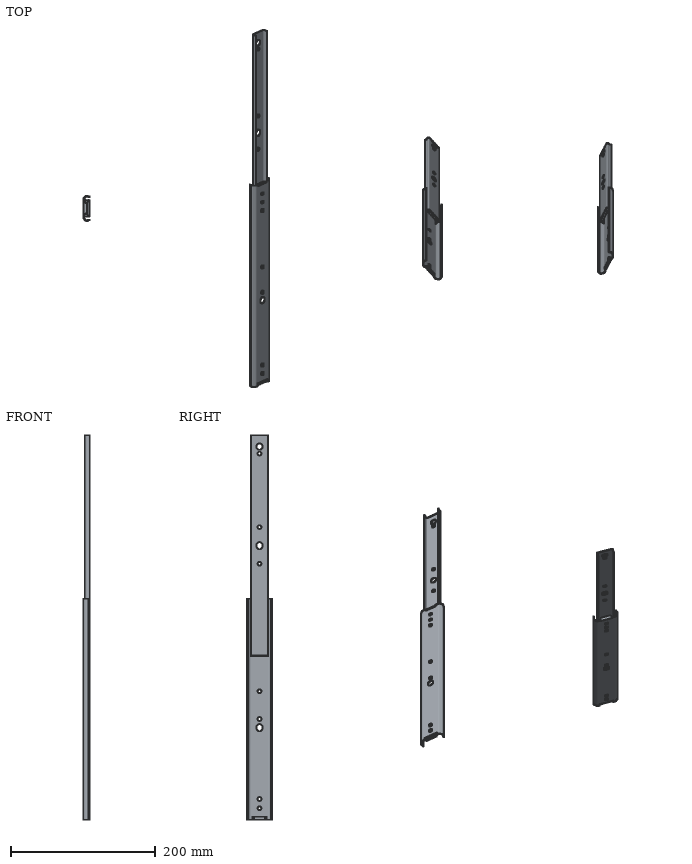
import cadquery as cq
import math


depth = 9.5
height = 35.08
total_length = 531.4
rail_length = 305.4
sheet = 1.2

inner_bottom = total_length - rail_length

outer_web_half = 12.0
outer_bend_radius = 3.5
wall_angle = math.radians(45)
track_x = 5.3
track_radius = 3.5
track_y = height / 2 - track_radius

inner_lip_x = 2.2
inner_half = 11.75
inner_bend_radius = 2.0
groove_start_x = 3.7
groove_end_x = 6.9
groove_sag = 0.3
inner_web_half = inner_half - inner_bend_radius

tab_root_half = 7.9
tab_tip_half = 6.8
tab_taper_x = 3.0
tab_tip_x = 5.2
notch_depth = 1.6

inner_tab_x = 5.6

strip_height = 4.0
strip_depth = 2.3
strip_cut_half = 11.6
strip_root_half = 9.8
strip_flat_half = 7.3

small_hole = 5.0
large_hole = 8.4
mount_slot_width = 8.0
mount_slot_height = 9.6
cross_slot_height = 3.4
cut_margin = 1.0

outer_small_holes = [16.0, 28.8, 139.3, 177.7, 263.3]
outer_cross_slots = [276.1, 288.9]
outer_mount_slot = 127.3
inner_small_holes = [25.6, 127.1, 177.7]
inner_large_hole = 16.0
inner_mount_slot = 152.8


def polar(x, y, radius, angle):
    """Point on a circle, with the angle measured from +Y toward +X."""
    return (x + radius * math.sin(angle), y + radius * math.cos(angle))


def plate(points, bottom, thickness):
    return cq.Workplane("XY", origin=(0, 0, bottom)).polyline(points).close().extrude(thickness)


def with_mirror(half):
    return half.union(half.mirror("XZ"))


def web_plane(z):
    """YZ workplane just outside the -X face, for cutting holes through the webs."""
    return cq.Workplane("YZ", origin=(-cut_margin, 0, z))


def cut_holes(rail, heights, diameter):
    for z in heights:
        rail = rail.cut(web_plane(z).circle(diameter / 2).extrude(depth + 2 * cut_margin))
    return rail


def cut_slots(rail, heights, length, width, angle):
    for z in heights:
        rail = rail.cut(web_plane(z).slot2D(length, width, angle).extrude(depth + 2 * cut_margin))
    return rail


def outer_rail_half():
    """+Y half of the outer rail: web, bend, sloped wall, ball track and flat lip."""
    inside_bend = outer_bend_radius - sheet
    inside_track = track_radius - sheet

    def bend(radius, turn):
        return (outer_bend_radius - radius * math.cos(turn), outer_web_half + radius * math.sin(turn))

    def track(radius, angle):
        return polar(track_x, track_y, radius, angle)

    return (
        cq.Workplane("XY")
        .lineTo(0, outer_web_half)
        .threePointArc(bend(outer_bend_radius, wall_angle / 2), bend(outer_bend_radius, wall_angle))
        .lineTo(*track(track_radius, -wall_angle))
        .threePointArc(track(track_radius, 0), track(track_radius, wall_angle))
        .lineTo(depth, track(track_radius, wall_angle)[1])
        .lineTo(depth, track(inside_track, wall_angle)[1])
        .lineTo(*track(inside_track, wall_angle))
        .threePointArc(track(inside_track, 0), track(inside_track, -wall_angle))
        .lineTo(*bend(inside_bend, wall_angle))
        .threePointArc(bend(inside_bend, wall_angle / 2), bend(inside_bend, 0))
        .lineTo(sheet, 0)
        .close()
        .extrude(rail_length)
    )


def inner_rail_half():
    """+Y half of the inner rail: web, bend and flange with its shallow ball groove."""
    bend_x = depth - inner_bend_radius
    inside_bend = inner_bend_radius - sheet
    inside_half = inner_half - sheet
    groove_x = (groove_start_x + groove_end_x) / 2

    def bend(radius, angle):
        return polar(bend_x, inner_web_half, radius, math.radians(angle))

    return (
        cq.Workplane("XY", origin=(0, 0, inner_bottom))
        .moveTo(depth, 0)
        .lineTo(*bend(inner_bend_radius, 90))
        .threePointArc(bend(inner_bend_radius, 45), bend(inner_bend_radius, 0))
        .lineTo(groove_end_x, inner_half)
        .threePointArc((groove_x, inner_half - groove_sag), (groove_start_x, inner_half))
        .lineTo(inner_lip_x, inner_half)
        .lineTo(inner_lip_x, inside_half)
        .lineTo(*bend(inside_bend, 0))
        .threePointArc(bend(inside_bend, 45), bend(inside_bend, 90))
        .lineTo(depth - sheet, 0)
        .close()
        .extrude(rail_length)
    )


def pressed_strip():
    """Strip across the bottom of the outer rail, stepped into the channel at constant thickness."""
    slope = math.atan2(strip_depth, strip_root_half - strip_flat_half)
    shift = sheet * math.tan(slope / 2)
    near_side = [
        (0, strip_cut_half),
        (0, strip_root_half),
        (strip_depth, strip_flat_half),
    ]
    far_side = [
        (strip_depth + sheet, strip_flat_half + shift),
        (sheet, strip_root_half + shift),
        (sheet, strip_cut_half),
    ]
    mirrored_near = [(x, -y) for x, y in reversed(near_side)]
    mirrored_far = [(x, -y) for x, y in reversed(far_side)]
    return plate(near_side + mirrored_near + mirrored_far + far_side, 0, strip_height)


def top_tab():
    root = [(0, -tab_root_half), (0, tab_root_half)]
    tip = [
        (tab_taper_x, tab_root_half),
        (tab_tip_x, tab_tip_half),
        (tab_tip_x, -tab_tip_half),
        (tab_taper_x, -tab_root_half),
    ]
    return plate(root + tip, rail_length - notch_depth - sheet, sheet)


def outer_rail():
    rail = with_mirror(outer_rail_half())
    strip_window = cq.Workplane("XY").box(2 * sheet, 2 * strip_cut_half, 2 * strip_height)
    rail = rail.cut(strip_window).union(pressed_strip())
    notch = cq.Workplane("XY", origin=(0, 0, rail_length)).box(2 * sheet, 2 * tab_root_half, 2 * notch_depth)
    rail = rail.cut(notch).union(top_tab())
    rail = cut_holes(rail, outer_small_holes, small_hole)
    rail = cut_slots(rail, outer_cross_slots, small_hole, cross_slot_height, 0)
    return cut_slots(rail, [outer_mount_slot], mount_slot_height, mount_slot_width, 90)


def inner_rail():
    rail = with_mirror(inner_rail_half())
    tab = cq.Workplane("XY", origin=(inner_tab_x, 0, inner_bottom)).box(
        depth - sheet - inner_tab_x, 2 * inner_web_half, sheet, centered=(False, True, False)
    )
    rail = rail.union(tab)
    rail = cut_holes(rail, [total_length - d for d in inner_small_holes], small_hole)
    rail = cut_holes(rail, [total_length - inner_large_hole], large_hole)
    return cut_slots(rail, [total_length - inner_mount_slot], mount_slot_height, mount_slot_width, 90)


outer = outer_rail()
inner = inner_rail()

result = cq.Compound.makeCompound([outer.val(), inner.val()])